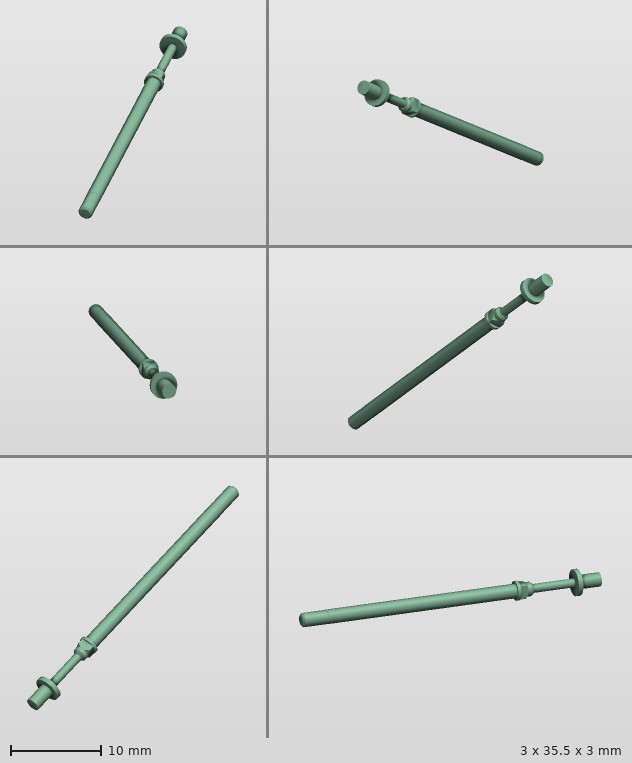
import cadquery as cq


total_length = 35.5
head_length = 2.5
flange_thickness = 0.55
plunger_length = 4.97
nose_length = 0.3
neck_length = 0.45
square_length = 0.95
collar_thickness = 0.35
tail_length = 3.0

barrel_diameter = 1.65
head_diameter = 1.6
flange_diameter = 3.0
plunger_diameter = 1.0
nose_diameter = 1.2
collar_diameter = 2.2
tail_diameter = head_diameter

across_flats = head_diameter
tail_chamfer = 0.2

head_end = total_length / 2
flange_back = head_end - head_length
flange_front = flange_back - flange_thickness
nose_tip = flange_front - plunger_length
neck_back = nose_tip - nose_length
square_back = neck_back - neck_length
collar_back = square_back - square_length
barrel_top = collar_back - collar_thickness
tail_end = -total_length / 2
tail_start = tail_end + tail_length

cone_length = (collar_diameter - barrel_diameter) / 2


def make_turned_body():
    """Revolve the half profile, given as (y, radius), about the Y axis."""
    profile = [
        (head_end, 0),
        (head_end, head_diameter / 2),
        (flange_back, head_diameter / 2),
        (flange_back, flange_diameter / 2),
        (flange_front, flange_diameter / 2),
        (flange_front, plunger_diameter / 2),
        (nose_tip, plunger_diameter / 2),
        (nose_tip, nose_diameter / 2),
        (neck_back, barrel_diameter / 2),
        (square_back, barrel_diameter / 2),
        (square_back - cone_length, collar_diameter / 2),
        (barrel_top, collar_diameter / 2),
        (barrel_top, barrel_diameter / 2),
        (tail_start, barrel_diameter / 2),
        (tail_start, tail_diameter / 2),
        (tail_end + tail_chamfer, tail_diameter / 2),
        (tail_end, tail_diameter / 2 - tail_chamfer),
        (tail_end, 0),
    ]
    return cq.Workplane("YZ").polyline(profile).close().revolve(360, (0, 0), (1, 0))


def make_flats_cutter():
    """Square-holed sleeve that mills four flats between the neck and the collar."""
    blank_width = 2 * collar_diameter
    centre_y = (square_back + collar_back) / 2
    blank = cq.Workplane("XY").box(blank_width, square_length, blank_width)
    square = cq.Workplane("XY").box(across_flats, square_length, across_flats)
    return blank.cut(square).translate((0, centre_y, 0))


result = make_turned_body().cut(make_flats_cutter())